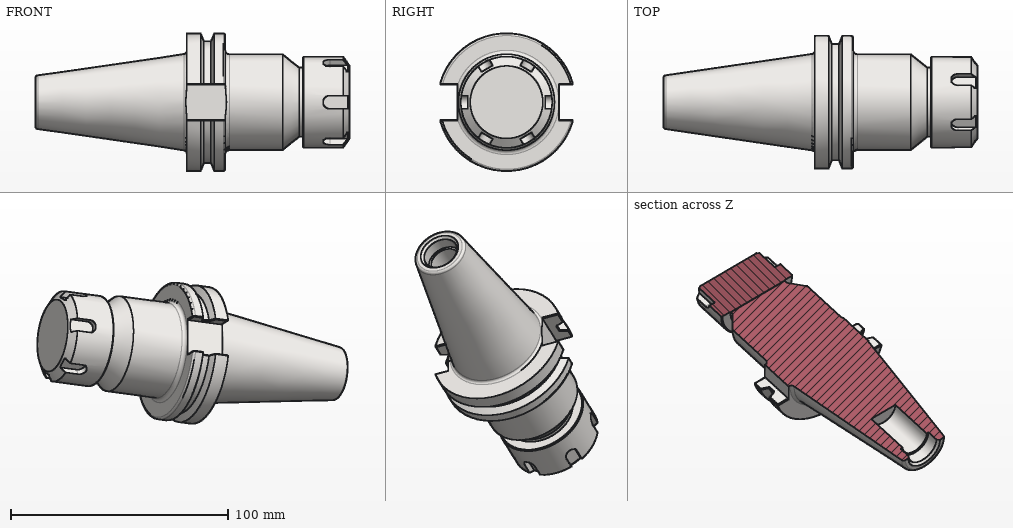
import cadquery as cq
import math


gauge_diameter = 44.45
gauge_x = 68.25
taper_ratio = 7 / 24
small_end_diameter = gauge_diameter - taper_ratio * gauge_x
small_end_round = 1.3

flange_diameter = 63.5
flange_start_x = 69.6
flange_end_x = gauge_x + 19.05
flange_back_round = 1.0
flange_front_round = flange_start_x - gauge_x
groove_center_x = 79.15
groove_floor_width = 3.2
groove_top_width = 6.3
groove_floor_diameter = 56.2

drive_slot_width = 16.26
front_slot_floor_y = -22.6
back_slot_floor_y = 24.2
drive_slot_edge_chamfer = 0.45

body_diameter = 44.2
body_root_round = 1.9
body_end_x = 113.7
neck_diameter = 32.0
neck_start_x = 121.3

tolerance = 1e-3

bore_mouth_diameter = 18.67
bore_diameter = 16.26
bore_depth = 7.0
thread_diameter = 14.0
thread_depth = 30.0
bore_mouth_depth = 1.2

nut_start_x = 123.0
nut_end_x = 144.53
nut_diameter = 42.0
nut_back_chamfer = 0.5
nut_front_chamfer_length = 3.0
nut_front_diameter = 33.4

wrench_slot_count = 6
wrench_slot_width = 6.0
wrench_slot_start_x = 132.3
wrench_slot_floor_radius = 17.8


def revolve_about_x(profile):
    return profile.close().revolve(360, (0, 0, 0), (1, 0, 0))


def make_turned_holder():
    gauge_radius = gauge_diameter / 2
    flange_radius = flange_diameter / 2
    groove_floor_radius = groove_floor_diameter / 2
    body_radius = body_diameter / 2
    neck_radius = neck_diameter / 2
    arc_offset = 1 - math.sqrt(0.5)
    front_arc_point = (
        flange_start_x - flange_front_round * arc_offset,
        gauge_radius + flange_front_round * arc_offset,
    )
    back_arc_point = (
        flange_end_x - flange_back_round * arc_offset,
        flange_radius - flange_back_round * arc_offset,
    )
    root_arc_point = (
        flange_end_x + body_root_round * arc_offset,
        body_radius + body_root_round * arc_offset,
    )
    profile = (
        cq.Workplane("XY")
        .lineTo(0, small_end_diameter / 2)
        .lineTo(gauge_x, gauge_radius)
        .threePointArc(front_arc_point, (flange_start_x, gauge_radius + flange_front_round))
        .lineTo(flange_start_x, flange_radius)
        .lineTo(groove_center_x - groove_top_width / 2, flange_radius)
        .lineTo(groove_center_x - groove_floor_width / 2, groove_floor_radius)
        .lineTo(groove_center_x + groove_floor_width / 2, groove_floor_radius)
        .lineTo(groove_center_x + groove_top_width / 2, flange_radius)
        .lineTo(flange_end_x - flange_back_round, flange_radius)
        .threePointArc(back_arc_point, (flange_end_x, flange_radius - flange_back_round))
        .lineTo(flange_end_x, body_radius + body_root_round)
        .threePointArc(root_arc_point, (flange_end_x + body_root_round, body_radius))
        .lineTo(body_end_x, body_radius)
        .lineTo(neck_start_x, neck_radius)
        .lineTo(nut_start_x, neck_radius)
        .lineTo(nut_start_x, 0)
    )
    return revolve_about_x(profile).faces("<X").edges().fillet(small_end_round)


def make_bore():
    profile = (
        cq.Workplane("XY")
        .lineTo(0, bore_mouth_diameter / 2)
        .lineTo(bore_mouth_depth, bore_diameter / 2)
        .lineTo(bore_depth, bore_diameter / 2)
        .lineTo(bore_depth, thread_diameter / 2)
        .lineTo(thread_depth, thread_diameter / 2)
        .lineTo(thread_depth, 0)
    )
    return revolve_about_x(profile)


def make_drive_slot(floor_y):
    outer_y = math.copysign(flange_diameter / 2, floor_y)
    length = flange_end_x + body_root_round - gauge_x
    return (
        cq.Workplane("XY")
        .box(length, abs(outer_y - floor_y), drive_slot_width, centered=(False, True, True))
        .translate((gauge_x, (outer_y + floor_y) / 2, 0))
    )


def is_slot_rim_edge(edge):
    """True for an edge of a drive slot wall that is not the corner along the slot floor."""
    bounds = edge.BoundingBox()
    lies_in_wall = (
        bounds.zlen < tolerance
        and abs(abs(edge.Center().z) - drive_slot_width / 2) < tolerance
        and bounds.xmin > gauge_x
    )
    runs_along_floor = bounds.ylen < tolerance and any(
        abs(edge.Center().y - floor_y) < tolerance for floor_y in (front_slot_floor_y, back_slot_floor_y)
    )
    return lies_in_wall and not runs_along_floor


def make_holder():
    holder = make_turned_holder().cut(make_bore())
    for floor_y in (front_slot_floor_y, back_slot_floor_y):
        holder = holder.cut(make_drive_slot(floor_y))
    rim_edges = [edge for edge in holder.edges().vals() if is_slot_rim_edge(edge)]
    return holder.newObject(rim_edges).chamfer(drive_slot_edge_chamfer)


def make_wrench_slot():
    end_radius = wrench_slot_width / 2
    straight_start_x = wrench_slot_start_x + end_radius
    return (
        cq.Workplane("XZ")
        .workplane(offset=wrench_slot_floor_radius)
        .moveTo(nut_end_x, end_radius)
        .lineTo(straight_start_x, end_radius)
        .threePointArc((wrench_slot_start_x, 0), (straight_start_x, -end_radius))
        .lineTo(nut_end_x, -end_radius)
        .close()
        .extrude(nut_diameter / 2 - wrench_slot_floor_radius)
    )


def make_nut():
    nut_radius = nut_diameter / 2
    profile = (
        cq.Workplane("XY")
        .moveTo(nut_start_x, 0)
        .lineTo(nut_start_x, nut_radius - nut_back_chamfer)
        .lineTo(nut_start_x + nut_back_chamfer, nut_radius)
        .lineTo(nut_end_x - nut_front_chamfer_length, nut_radius)
        .lineTo(nut_end_x, nut_front_diameter / 2)
        .lineTo(nut_end_x, 0)
    )
    nut = revolve_about_x(profile)
    slot = make_wrench_slot()
    for i in range(wrench_slot_count):
        nut = nut.cut(slot.rotate((0, 0, 0), (1, 0, 0), i * 360 / wrench_slot_count))
    return nut


holder = make_holder()
nut = make_nut()

result = cq.Compound.makeCompound([holder.solids().val(), nut.solids().val()])